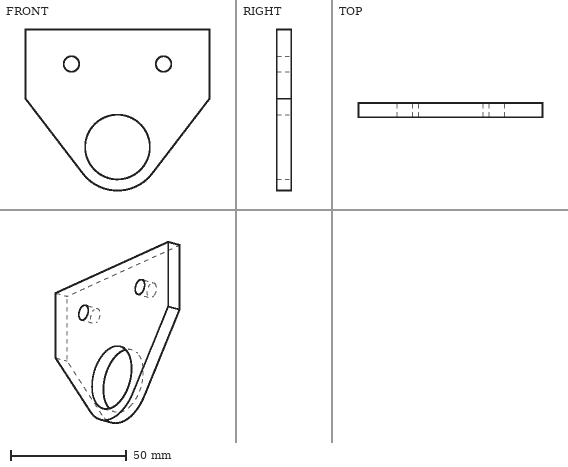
import cadquery as cq
import math

width = 80.0
thickness = 6.3
side_height = 30.0

bore_depth = 51.0
bore_diameter = 28.0
end_radius = 19.0

hole_spacing = width / 2
hole_depth = side_height / 2
hole_diameter = 6.6

half_width = width / 2
corner_rise = bore_depth - side_height
corner_distance = math.hypot(half_width, corner_rise)
corner_angle = math.atan2(corner_rise, half_width)
tangent_angle = corner_angle - math.acos(end_radius / corner_distance)
tangent_x = end_radius * math.cos(tangent_angle)
tangent_z = -bore_depth + end_radius * math.sin(tangent_angle)


def make_plate():
    """Plate outline extruded from the front face toward +Y."""
    return (
        cq.Workplane("XZ")
        .moveTo(-half_width, 0)
        .lineTo(half_width, 0)
        .lineTo(half_width, -side_height)
        .lineTo(tangent_x, tangent_z)
        .threePointArc((0, -bore_depth - end_radius), (-tangent_x, tangent_z))
        .lineTo(-half_width, -side_height)
        .close()
        .extrude(-thickness)
    )


def through_hole(x, z, diameter):
    """Cylinder along Y that passes through the plate."""
    return cq.Workplane("XZ").center(x, z).circle(diameter / 2).extrude(-thickness)


result = make_plate().cut(through_hole(0, -bore_depth, bore_diameter))
for side in (-1, 1):
    result = result.cut(through_hole(side * hole_spacing / 2, -hole_depth, hole_diameter))